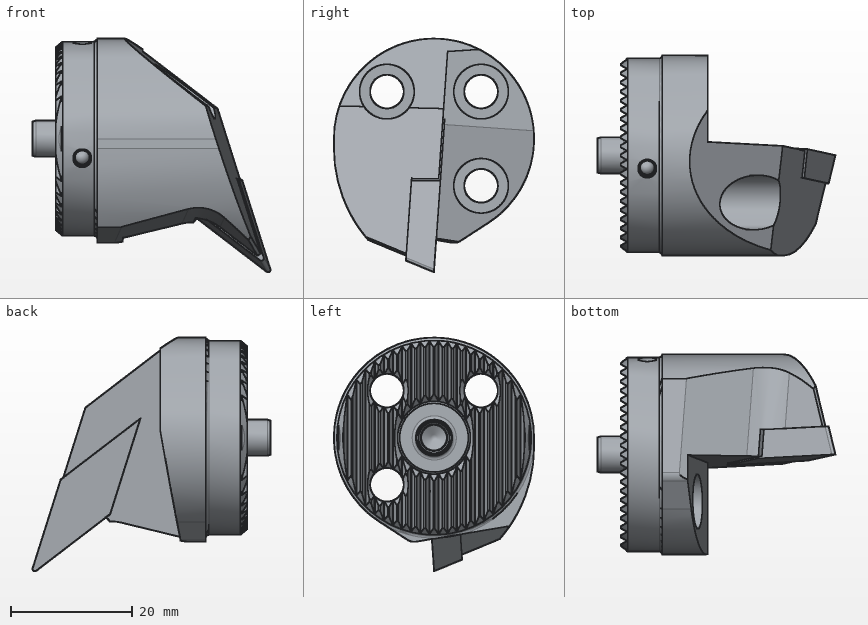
import cadquery as cq
import math



def cosd(angle):
    return math.cos(math.radians(angle))


def sind(angle):
    return math.sin(math.radians(angle))


def tand(angle):
    return math.tan(math.radians(angle))


overall_length = 39.2
overall_height = 38.5
LARGE = 60.0

ring_radius = 16.0
ring_chamfer_length = 1.15
crest_face_radius = 15.0
flange_start = 6.85
flange_radius = 16.5
ring_fillet = flange_radius - ring_radius

tooth_pitch = 1.5
crest_width = 0.3
tooth_depth = 0.95
tooth_flank_angle = 30.0
grooves_per_side = 11

screw_hole_offset = 7.75
screw_hole_diameter = 5.5
screw_head_diameter = 9.0
screw_head_seat = 9.4
screw_hole_mouth_diameter = 7.3
screw_hole_places = [
    (-screw_hole_offset, screw_hole_offset),
    (screw_hole_offset, screw_hole_offset),
    (screw_hole_offset, -screw_hole_offset),
]

stub_flange_diameter = 12.0
stub_flange_face = 1.1
stub_flange_thickness = 2.0
stub_flange_chamfer = 0.35
stub_diameter = 6.0
stub_tip = -3.8
stub_base_fillet = 0.63
stub_tip_chamfer_length = 0.55
stub_tip_chamfer_width = 0.17
stub_bore_diameter = 4.2
stub_bore_mouth_diameter = 5.1
stub_bore_depth = 5.0
stub_lead_diameter = 4.4
stub_lead_depth = 3.0
drill_point_angle = 31.0
stub_recess_mouth_diameter = 14.1

ball_diameter = 2.38
ball_bore_diameter = 2.5
ball_mouth_diameter = 3.0
ball_mouth_depth = 0.6
ball_depth = 2.1
ball_station = 4.4
ball_bore_tilt = 5.5
ball_holes = [(97.9, 90 + ball_bore_tilt), (191.7, 180 + ball_bore_tilt)]

side_flat_height = 1.55
side_arc_radius = 23.0
flank_slope = 33.0
heel_fillet = 2.0
bottom_height = -16.64
arm_bottom = -22.5
arm_keel_y = 2.0
arm_end = 40.0
flange_end = 14.4
flange_relief_top = 2.4
flange_relief_angle = 10.0

rake_tilt = 4.0
insert_angle = 35.0
insert_clearance = 7.0
insert_inscribed_diameter = 9.525
insert_thickness = 4.76
nose_radius = 0.4
nose_reach_x = stub_tip + overall_length
nose_reach_z = flange_radius - overall_height
seat_opening_length = 15.77
end_edge_angle = 72.5
lower_edge_angle = end_edge_angle - insert_angle
nose_angle = end_edge_angle - insert_angle / 2

top_clearance = 6.0
rake_corner = (26.7, 1.58, 4.95)
arm_nose_point = (32.05, -10.95, -16.4)

ramp_start = 9.87
ramp_angle = 13.8
gullet_radius = 7.0
gullet_corner_x = 24.05

rake_normal = cq.Vector(0, cosd(rake_tilt), -sind(rake_tilt))
rake_up = cq.Vector(0, sind(rake_tilt), cosd(rake_tilt))


def in_rake(angle):
    """Unit vector in the rake face, at an angle from +X towards +Z."""
    return cq.Vector(1, 0, 0) * cosd(angle) + rake_up * sind(angle)


def relieved(angle, clearance):
    """Outward normal of a side face that leans away from the rake face by the clearance angle."""
    return in_rake(angle) * cosd(clearance) - rake_normal * sind(clearance)


def rake_plane(origin):
    """Plane on the rake face: local x along X, local y up the face, normal into the material."""
    return cq.Plane(origin=origin, xDir=(1, 0, 0), normal=(rake_normal * -1).toTuple())


def half_space(point, normal):
    """Large block on the side of the point that the normal faces."""
    plane = cq.Plane(origin=point, normal=normal.toTuple())
    return cq.Workplane(plane).rect(2 * LARGE, 2 * LARGE).extrude(LARGE)


def axial_countersink(mouth_diameter, y=0, z=0):
    """45 degree cone along X that opens to the mouth diameter at the tooth crests."""
    radius = mouth_diameter / 2
    return cq.Workplane(cq.Solid.makeCone(radius, 0, radius, pnt=cq.Vector(0, y, z), dir=cq.Vector(1, 0, 0)))


def axial_bore(diameter, start, y=0, z=0, length=LARGE):
    """Cylinder along X from the start."""
    return cq.Workplane("YZ", origin=(start, y, z)).circle(diameter / 2).extrude(length)


insert_plane = rake_plane((0, -nose_reach_z * tand(rake_tilt), 0))
half_angle = insert_angle / 2
nose_centre = (nose_reach_x - nose_radius, (nose_reach_z + nose_radius) / cosd(rake_tilt))
nose_direction = (cosd(nose_angle), -sind(nose_angle))


def step(point, direction, length):
    """Point reached from another by going a length along a direction in the plane."""
    return (point[0] + direction[0] * length, point[1] + direction[1] * length)


sharp_tip = step(nose_centre, nose_direction, nose_radius / sind(half_angle))


def nose_rhombus(plane, tip, side):
    """Rhombus with the given sharp tip and side, rounded at the tip."""
    run = nose_radius / tand(half_angle)
    nose_front = step(tip, nose_direction, nose_radius - nose_radius / sind(half_angle))
    end_edge = (-cosd(end_edge_angle), sind(end_edge_angle))
    lower_edge = (-cosd(lower_edge_angle), sind(lower_edge_angle))
    end_corner = step(tip, end_edge, side)
    return (
        cq.Workplane(plane)
        .moveTo(*step(tip, end_edge, run))
        .lineTo(*end_corner)
        .lineTo(*step(end_corner, lower_edge, side))
        .lineTo(*step(tip, lower_edge, side))
        .lineTo(*step(tip, lower_edge, run))
        .threePointArc(nose_front, step(tip, end_edge, run))
        .close()
        .val()
    )


def make_insert():
    """Rhombus that shrinks from the rake face to the seat by the clearance angle."""
    side = insert_inscribed_diameter / sind(insert_angle)
    inset = insert_thickness * tand(insert_clearance)
    back_tip = step(sharp_tip, nose_direction, -inset / sind(half_angle))
    back_side = side - 2 * inset / sind(insert_angle)
    back_plane = rake_plane((insert_plane.origin - rake_normal * insert_thickness).toTuple())
    front = nose_rhombus(insert_plane, sharp_tip, side)
    back = nose_rhombus(back_plane, back_tip, back_side)
    return cq.Workplane(cq.Solid.makeLoft([front, back], True))


def make_stub():
    """Turned stub with a stepped blind bore, carried by a flange that fills the recess of the housing."""
    tip_radius = stub_diameter / 2 - stub_tip_chamfer_width
    bore_radius = stub_bore_diameter / 2
    mouth_radius = stub_bore_mouth_diameter / 2
    lead_radius = stub_lead_diameter / 2
    mouth_end = stub_tip + mouth_radius - lead_radius
    lead_end = stub_tip + stub_lead_depth
    bore_end = stub_tip + stub_bore_depth
    drill_tip = bore_end + bore_radius * tand(drill_point_angle)
    flange_rim = stub_flange_diameter / 2
    fillet_end = stub_flange_face - stub_base_fillet
    stub_radius = stub_diameter / 2
    flange_back = stub_flange_face + stub_flange_thickness
    return (
        cq.Workplane("XY")
        .moveTo(drill_tip, 0)
        .lineTo(bore_end, bore_radius)
        .lineTo(lead_end + lead_radius - bore_radius, bore_radius)
        .lineTo(lead_end, lead_radius)
        .lineTo(mouth_end, lead_radius)
        .lineTo(stub_tip, mouth_radius)
        .lineTo(stub_tip, tip_radius)
        .lineTo(stub_tip + stub_tip_chamfer_length, stub_radius)
        .lineTo(fillet_end, stub_radius)
        .radiusArc((stub_flange_face, stub_radius + stub_base_fillet), -stub_base_fillet)
        .lineTo(stub_flange_face, flange_rim - stub_flange_chamfer)
        .lineTo(stub_flange_face + stub_flange_chamfer, flange_rim)
        .lineTo(flange_back, flange_rim)
        .lineTo(flange_back, 0)
        .close()
        .revolve(360, (0, 0, 0), (1, 0, 0))
    )


def make_base_ring():
    """Round base with the chamfered face and the fillet that runs up to the flange."""
    return (
        cq.Workplane("XY")
        .moveTo(0, 0)
        .lineTo(0, crest_face_radius)
        .lineTo(ring_chamfer_length, ring_radius)
        .lineTo(flange_start - ring_fillet, ring_radius)
        .radiusArc((flange_start, flange_radius), -ring_fillet)
        .lineTo(flange_start, 0)
        .close()
        .revolve(360, (0, 0, 0), (1, 0, 0))
    )


def make_flange_and_arm():
    """Outline across the axis, extruded to the end of the arm."""
    side_centre = (side_arc_radius - flange_radius, -side_flat_height)
    side_depth = arm_bottom - side_centre[1]
    side_end = side_centre[0] - math.sqrt(side_arc_radius**2 - side_depth**2)
    mid_angle = 180 + math.degrees(math.asin(-side_depth / side_arc_radius)) / 2
    side_mid = (
        side_centre[0] + side_arc_radius * cosd(mid_angle),
        side_centre[1] + side_arc_radius * sind(mid_angle),
    )
    tangent = (flange_radius * sind(flank_slope), -flange_radius * cosd(flank_slope))
    arm_mid = (flange_start + arm_end) / 2
    heel_y = (bottom_height - tangent[1] + tand(flank_slope) * tangent[0]) / (tand(flank_slope) + bottom_fall)
    heel = (heel_y, bottom_height - bottom_fall * heel_y)
    outline = (
        cq.Workplane("YZ", origin=(flange_start, 0, 0))
        .moveTo(-flange_radius, 0)
        .threePointArc((flange_radius * sind(45), flange_radius * cosd(45)), tangent)
        .lineTo(*heel)
        .lineTo(arm_keel_y, bottom_height - bottom_fall * arm_keel_y)
        .lineTo(arm_keel_y, arm_bottom)
        .lineTo(side_end, arm_bottom)
        .threePointArc(side_mid, (-flange_radius, -side_flat_height))
        .close()
        .extrude(arm_end - flange_start)
    )
    return outline.edges(cq.selectors.NearestToPointSelector((arm_mid, *heel))).fillet(heel_fillet)


def make_rake_cut():
    """Space in front of the rake face, ending at the back of the flange."""
    _, y, z = rake_corner
    relief_run = LARGE * tand(flange_relief_angle)
    return (
        cq.Workplane(rake_plane((0, y - z * tand(rake_tilt), 0)))
        .moveTo(flange_end, LARGE)
        .lineTo(flange_end, flange_relief_top)
        .lineTo(flange_end - relief_run, flange_relief_top - LARGE)
        .lineTo(LARGE, flange_relief_top - LARGE)
        .lineTo(LARGE, LARGE)
        .close()
        .extrude(-LARGE)
    )


gullet_axis = rake_normal * cosd(insert_clearance) + in_rake(-90 - lower_edge_angle) * sind(insert_clearance)
bottom_fall = -gullet_axis.z / gullet_axis.y


def cut_gullet(body):
    """Clear the space below the bottom face, the ramp, the round hollow and the lower face of the arm."""
    arm_normal = relieved(-90 - lower_edge_angle, insert_clearance)
    arm_fall = arm_normal.x / arm_normal.z
    corner_z = bottom_height + (gullet_corner_x - ramp_start) * tand(ramp_angle)
    points = [
        (-LARGE, bottom_height),
        (ramp_start, bottom_height),
        (gullet_corner_x, corner_z),
        (LARGE, corner_z - arm_fall * (LARGE - gullet_corner_x)),
        (LARGE, -LARGE),
        (-LARGE, -LARGE),
    ]
    profile = cq.Workplane("XZ").polyline(points).close().val()
    corner = min(profile.Vertices(), key=lambda vertex: abs(vertex.X - gullet_corner_x))
    profile = profile.fillet2D(gullet_radius, [corner])
    reach = gullet_axis * (LARGE / 2)
    cutter = cq.Solid.extrudeLinear(profile.moved(cq.Location(reach * -1)), [], reach * 2)
    return body.cut(cq.Workplane(cutter))


def cut_insert_seat(body, insert):
    """Recess for the insert, left open below its lower cutting edge."""
    tip_x, tip_z = sharp_tip
    inset = insert_thickness * tand(insert_clearance)
    opening = (
        cq.Workplane(insert_plane)
        .transformed(offset=(tip_x, tip_z, 0), rotate=(0, 0, -lower_edge_angle))
        .moveTo(-seat_opening_length, inset)
        .lineTo(0, inset)
        .lineTo(0, -LARGE)
        .lineTo(-seat_opening_length, -LARGE)
        .close()
        .extrude(insert_thickness)
    )
    return body.cut(insert).cut(opening)


def cut_serrations(body):
    """V grooves with flat roots across the base, leaving a tooth crest on the axis."""
    crest_half = crest_width / 2
    slope_run = tooth_depth * tand(tooth_flank_angle)
    root_half = tooth_pitch / 2 - crest_half - slope_run
    mouth_half = root_half + slope_run
    for number in range(-grooves_per_side, grooves_per_side):
        place = (number + 0.5) * tooth_pitch
        groove = (
            cq.Workplane("XY", origin=(0, place, -LARGE / 2))
            .moveTo(0, -mouth_half)
            .lineTo(tooth_depth, -root_half)
            .lineTo(tooth_depth, root_half)
            .lineTo(0, mouth_half)
            .close()
            .extrude(LARGE)
        )
        body = body.cut(groove)
    return body


def cut_screw_holes(body):
    for y, z in screw_hole_places:
        body = body.cut(axial_bore(screw_hole_diameter, 0, y, z))
        body = body.cut(axial_bore(screw_head_diameter, screw_head_seat, y, z))
        body = body.cut(axial_countersink(screw_hole_mouth_diameter, y, z))
    return body


def cut_stub_recess(body):
    depth = stub_flange_face + stub_flange_thickness
    body = body.cut(axial_bore(stub_flange_diameter, 0, length=depth))
    mouth_radius = stub_recess_mouth_diameter / 2
    mouth_depth = mouth_radius - stub_flange_diameter / 2
    mouth = axial_countersink(stub_recess_mouth_diameter)
    return body.cut(mouth.intersect(axial_bore(stub_recess_mouth_diameter, 0, length=mouth_depth)))


def across(angle):
    """Unit vector square to the X axis, at an angle from +Y towards +Z."""
    return cq.Vector(0, cosd(angle), sind(angle))


def ball_line(mouth_angle, bore_angle):
    """Mouth point on the ring surface and the inward direction of the bore."""
    return cq.Vector(ball_station, 0, 0) + across(mouth_angle) * ring_radius, across(bore_angle) * -1


def cut_ball_holes(body):
    """Stepped bores, each just deep enough for its ball to rest on the floor."""
    bore_depth = ball_depth + ball_diameter / 2
    mouth_lead = 1.0
    for mouth_angle, bore_angle in ball_holes:
        start, inward = ball_line(mouth_angle, bore_angle)
        mouth_start = start - inward * mouth_lead
        mouth_length = mouth_lead + ball_mouth_depth
        mouth = cq.Solid.makeCylinder(ball_mouth_diameter / 2, mouth_length, mouth_start, inward)
        bore = cq.Solid.makeCylinder(ball_bore_diameter / 2, bore_depth, start, inward)
        body = body.cut(cq.Workplane(mouth)).cut(cq.Workplane(bore))
    return body


def make_ball(mouth_angle, bore_angle):
    start, inward = ball_line(mouth_angle, bore_angle)
    return cq.Workplane("YZ").sphere(ball_diameter / 2).translate(start + inward * ball_depth)


def trim_arm(body):
    """Flat top, end and nose faces of the arm; top and end run along the edges of the insert."""
    top_normal = relieved(90 - lower_edge_angle, top_clearance)
    end_normal = relieved(90 - end_edge_angle, insert_clearance)
    nose_clearance = math.degrees(math.atan(tand(insert_clearance) / sind(half_angle)))
    nose_normal = relieved(-nose_angle, nose_clearance)
    body = body.cut(half_space(rake_corner, top_normal))
    body = body.cut(half_space(rake_corner, end_normal))
    return body.cut(half_space(arm_nose_point, nose_normal))


def make_housing(insert):
    body = make_flange_and_arm()
    body = body.cut(make_rake_cut())
    body = trim_arm(body)
    body = cut_gullet(body)
    body = body.union(make_base_ring())
    body = cut_serrations(body)
    body = cut_stub_recess(body)
    body = cut_screw_holes(body)
    body = cut_ball_holes(body)
    return cut_insert_seat(body, insert)


insert = make_insert()
stub = make_stub()
housing = make_housing(insert)
balls = [make_ball(*angles) for angles in ball_holes]
result = cq.Compound.makeCompound([housing.val(), insert.val(), stub.val(), *[ball.val() for ball in balls]])